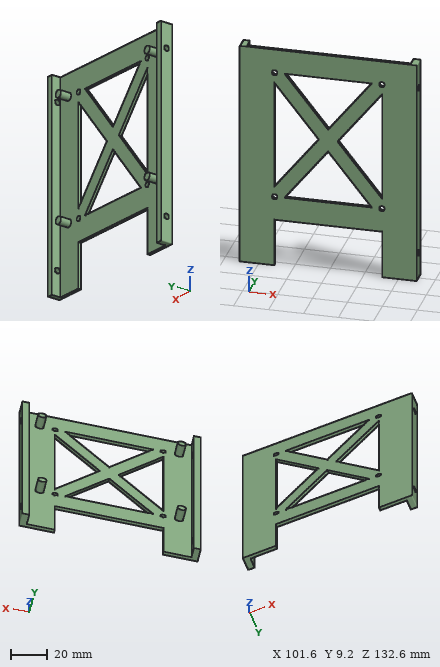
import cadquery as cq

width = 101.6
height = 132.6
plate_thickness = 2.0
flange_depth = 8.0
flange_thickness = 4.0
corner_radius = 0.7

window_width = 61.8
window_bottom = 42.2
window_top = 118.5
brace_width = 8.5
brace_angle = 51.5
notch_height = 28.0

plate_hole_diameter = 3.0
plate_hole_spacing = 61.4
flange_hole_diameter = 3.3
flange_hole_inset = 15.7
flange_hole_depth = 4.1
pin_diameter = 4.8
pin_spacing = 79.3
pin_tip = 9.2

window_height = window_top - window_bottom
window_middle = (window_top + window_bottom) / 2


def block(size_x, size_y, size_z, bottom=0):
    """Box centred on X, starting at Y = 0 and standing at the given height."""
    box = cq.Workplane("XY").box(size_x, size_y, size_z, centered=(True, False, False))
    return box.translate((0, 0, bottom))


def cylinders(diameter, spacing, length):
    """Four cylinders along +Y, level with the window's top and bottom edges."""
    return (
        cq.Workplane("XZ", origin=(0, 0, window_middle))
        .rarray(spacing, window_height, 2, 2)
        .circle(diameter / 2)
        .extrude(-length)
    )


def channel():
    """Plate with a full-height flange along each side and rounded outer corners."""
    body = block(width, flange_depth, height).edges("|Y").fillet(corner_radius)
    inside = block(width - 2 * flange_thickness, flange_depth, height)
    return body.cut(inside.translate((0, plate_thickness, 0)))


def braced_window():
    """Window opening, less the two diagonal braces that cross it."""
    opening = block(window_width, plate_thickness, window_height, window_bottom)
    brace_length = window_width + window_height
    for direction in (1, -1):
        brace = (
            cq.Workplane("XZ", origin=(0, 0, window_middle))
            .transformed(rotate=(0, 0, direction * brace_angle))
            .rect(brace_length, brace_width)
            .extrude(-plate_thickness)
        )
        opening = opening.cut(brace)
    return opening


def flange_holes():
    """Upper and lower cross holes, each passing through both flanges."""
    return (
        cq.Workplane("YZ", origin=(-width / 2, flange_hole_depth, height / 2))
        .rarray(1.3, height - 2 * flange_hole_inset, 1, 2)
        .circle(flange_hole_diameter / 2)
        .extrude(width)
    )


result = (
    channel()
    .cut(braced_window())
    .cut(block(window_width, plate_thickness, notch_height))
    .cut(cylinders(plate_hole_diameter, plate_hole_spacing, plate_thickness))
    .cut(flange_holes())
    .union(cylinders(pin_diameter, pin_spacing, pin_tip))
)